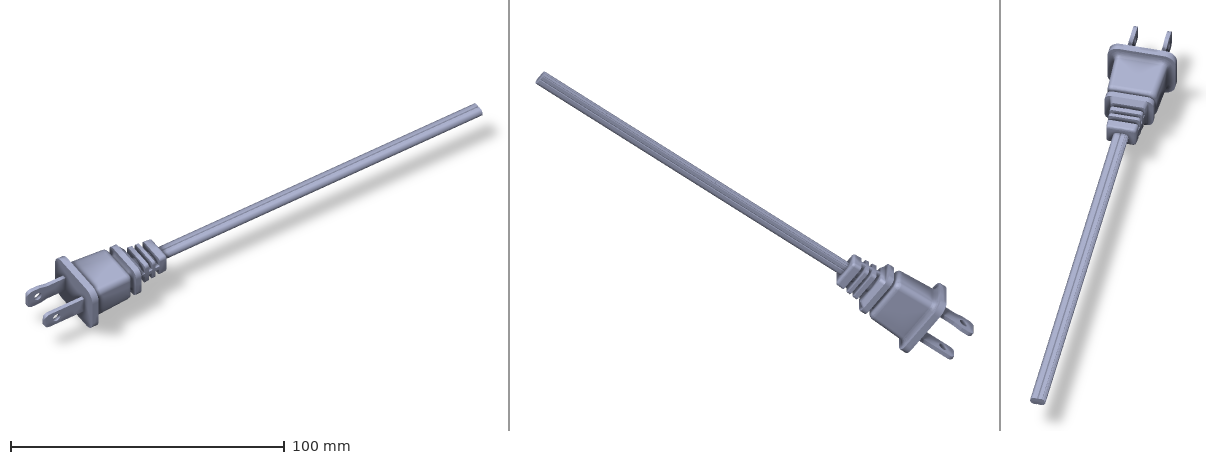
import cadquery as cq
import math

OVERALL_LENGTH = 192.6

BLADE_SPACING = 12.7
BLADE_THICKNESS = 1.5
BLADE_HEIGHT = 6.4
BLADE_LENGTH = 17.3
WIDE_BLADE_HEIGHT = 7.9
WIDE_BLADE_LENGTH = 16.8
WIDENING_START = 7.9
WIDENING_END = 11.4
BLADE_CORNER_RADIUS = 2.5
BLADE_TIP_CHAMFER = 0.48
BLADE_HOLE_DIAMETER = 3.3
BLADE_HOLE_DISTANCE = 12.0

FLANGE_WIDTH = 25.5
FLANGE_HEIGHT = 18.9
FLANGE_THICKNESS = 2.7
FLANGE_CORNER_RADIUS = 4.2

BODY_FRONT_WIDTH = 19.8
BODY_FRONT_HEIGHT = 13.1
BODY_BACK_WIDTH = 18.3
BODY_BACK_HEIGHT = 12.0
BODY_BACK_Y = 19.6
BODY_CORNER_RADIUS = 2.1
BODY_EDGE_RADIUS = 2.0
BODY_ROOT_RADIUS = 1.7

NECK_WIDTH = 12.7
NECK_HEIGHT = 8.0
NECK_CORNER_RADIUS = 1.7
NECK_FILLET_RADIUS = 1.3
COLLAR_WIDTH = 18.3
COLLAR_HEIGHT = 12.3
COLLAR_CORNER_RADIUS = 2.7
COLLAR_FRONT_Y = 21.2
COLLAR_BACK_Y = 23.5
SHOULDER_WIDTH = 14.3
SHOULDER_BACK_Y = 25.2

RELIEF_FRONT_WIDTH = 12.7
RELIEF_FRONT_HEIGHT = 8.9
RELIEF_BACK_WIDTH = 11.2
RELIEF_BACK_HEIGHT = 7.9
RELIEF_BACK_Y = 37.0
RELIEF_CORNER_RADIUS = 1.2
RELIEF_EDGE_RADIUS = 1.0
GROOVES = [(SHOULDER_BACK_Y, 27), (28.7, 30.2), (31.5, 33.5)]
WEB_THICKNESS = 1.5
CORE_RADIUS = 2.9

CORD_WIDTH = 5.8
CORD_HEIGHT = 3.0
CORD_PARTING_CHAMFER = 0.29
RIB_GROOVE_COUNT = 5
RIB_GROOVE_RADIUS = 0.2
CORD_START_Y = GROOVES[0][1]
CORD_END_Y = OVERALL_LENGTH - BLADE_LENGTH


def rounded_section(width, height, radius, y):
    """Closed rounded rectangle in the plane at the given Y."""
    plane = cq.Plane(origin=(0, y, 0), xDir=(1, 0, 0), normal=(0, -1, 0))
    outline = cq.Sketch().rect(width, height).vertices().fillet(radius)
    return cq.Workplane(plane).placeSketch(outline)


def rounded_bar(width, height, radius, front_y, back_y):
    """Straight bar of rounded rectangular section between two Y positions."""
    return rounded_section(width, height, radius, back_y).extrude(back_y - front_y)


def tapered_bar(front, back, radius, front_y, back_y):
    """Bar whose section changes from the front (width, height) to the back one."""
    plane = cq.Plane(origin=(0, front_y, 0), xDir=(-1, 0, 0), normal=(0, 1, 0))
    front_outline = cq.Sketch().rect(*front).vertices().fillet(radius)
    back_outline = cq.Sketch().rect(*back).vertices().fillet(radius)
    back_outline = back_outline.moved(cq.Location(cq.Vector(0, 0, back_y - front_y)))
    return cq.Workplane(plane).placeSketch(front_outline, back_outline).loft()


def joint_edges(width, height, y):
    """Selector for edges at the given Y that lie inside a face of the given size."""
    margin = 0.2
    half_width = width / 2 - margin
    half_height = height / 2 - margin
    return cq.selectors.BoxSelector(
        (-half_width, y - margin, -half_height),
        (half_width, y + margin, half_height),
        boundingbox=True,
    )


def make_flanged_body():
    """Plug body with a rounded back edge, blended into its flange."""
    flange = rounded_bar(FLANGE_WIDTH, FLANGE_HEIGHT, FLANGE_CORNER_RADIUS, 0, FLANGE_THICKNESS)
    body = tapered_bar(
        (BODY_FRONT_WIDTH, BODY_FRONT_HEIGHT),
        (BODY_BACK_WIDTH, BODY_BACK_HEIGHT),
        BODY_CORNER_RADIUS,
        FLANGE_THICKNESS,
        BODY_BACK_Y,
    )
    body = body.faces(">Y").edges().fillet(BODY_EDGE_RADIUS)
    root = joint_edges(FLANGE_WIDTH, FLANGE_HEIGHT, FLANGE_THICKNESS)
    return flange.union(body).edges(root).fillet(BODY_ROOT_RADIUS)


def make_collar():
    """Neck, collar and the shoulder that slopes down to the strain relief."""
    neck = rounded_bar(NECK_WIDTH, NECK_HEIGHT, NECK_CORNER_RADIUS, BODY_BACK_Y, COLLAR_FRONT_Y)
    collar = rounded_bar(
        COLLAR_WIDTH, COLLAR_HEIGHT, COLLAR_CORNER_RADIUS, COLLAR_FRONT_Y, COLLAR_BACK_Y
    )
    shoulder = tapered_bar(
        (SHOULDER_WIDTH, COLLAR_HEIGHT),
        (RELIEF_FRONT_WIDTH, RELIEF_FRONT_HEIGHT),
        RELIEF_CORNER_RADIUS,
        COLLAR_BACK_Y,
        SHOULDER_BACK_Y,
    )
    joint = joint_edges(COLLAR_WIDTH, COLLAR_HEIGHT, COLLAR_FRONT_Y)
    return neck.union(collar).edges(joint).fillet(NECK_FILLET_RADIUS).union(shoulder)


def make_strain_relief():
    """Tapered block notched from above and below down to a thin web."""
    relief = tapered_bar(
        (RELIEF_FRONT_WIDTH, RELIEF_FRONT_HEIGHT),
        (RELIEF_BACK_WIDTH, RELIEF_BACK_HEIGHT),
        RELIEF_CORNER_RADIUS,
        SHOULDER_BACK_Y,
        RELIEF_BACK_Y,
    )
    relief = relief.faces(">Y").edges().fillet(RELIEF_EDGE_RADIUS)
    for front_y, back_y in GROOVES:
        length = back_y - front_y
        groove = cq.Workplane("XY").box(FLANGE_WIDTH, length, FLANGE_HEIGHT)
        groove = groove.cut(cq.Workplane("XY").box(FLANGE_WIDTH, length, WEB_THICKNESS))
        relief = relief.cut(groove.translate((0, (front_y + back_y) / 2, 0)))
    core_front_y, core_back_y = GROOVES[0]
    core = cq.Workplane("XZ", origin=(0, core_back_y, 0)).circle(CORE_RADIUS)
    return relief.union(core.extrude(core_back_y - core_front_y))


def make_strand(side):
    """One cord strand: flat where it meets its neighbour, round outside; side is -1 or 1."""
    radius = CORD_HEIGHT / 2
    half_width = CORD_WIDTH / 2
    parting_height = radius - CORD_PARTING_CHAMFER
    arc_start = half_width - radius
    return (
        cq.Workplane("XZ", origin=(0, CORD_END_Y, 0))
        .moveTo(0, -parting_height)
        .lineTo(side * CORD_PARTING_CHAMFER, -radius)
        .lineTo(side * arc_start, -radius)
        .threePointArc((side * half_width, 0), (side * arc_start, radius))
        .lineTo(side * CORD_PARTING_CHAMFER, radius)
        .lineTo(0, parting_height)
        .close()
        .extrude(CORD_END_Y - CORD_START_Y)
    )


def make_ribbed_strand():
    """Strand on the wide blade's side, with fine grooves along its round outside."""
    strand = make_strand(-1)
    radius = CORD_HEIGHT / 2
    axis_x = radius - CORD_WIDTH / 2
    for index in range(RIB_GROOVE_COUNT):
        angle = math.pi / 2 + math.pi * (index + 0.5) / RIB_GROOVE_COUNT
        groove = (
            cq.Workplane("XZ", origin=(0, CORD_END_Y, 0))
            .center(axis_x + radius * math.cos(angle), radius * math.sin(angle))
            .circle(RIB_GROOVE_RADIUS)
            .extrude(CORD_END_Y - RELIEF_BACK_Y)
        )
        strand = strand.cut(groove)
    return strand


def make_housing(strands):
    """Moulded plug with a passage that the strands fill."""
    housing = make_flanged_body().union(make_collar()).union(make_strain_relief())
    for strand in strands:
        housing = housing.cut(strand)
    return housing


def make_blade(side, length, tip_height):
    """Blade standing on the plug face, widening to tip_height before its rounded, drilled tip."""
    half_shank = BLADE_HEIGHT / 2
    half_tip = tip_height / 2
    outline = [
        (0, -half_shank),
        (-WIDENING_START, -half_shank),
        (-WIDENING_END, -half_tip),
        (-length, -half_tip),
        (-length, half_tip),
        (-WIDENING_END, half_tip),
        (-WIDENING_START, half_shank),
        (0, half_shank),
    ]
    blade = cq.Workplane("YZ").polyline(outline).close().extrude(BLADE_THICKNESS / 2, both=True)
    blade = blade.faces("<Y").edges("|X").fillet(BLADE_CORNER_RADIUS)
    half_thickness = BLADE_THICKNESS / 2
    tip_half_thickness = half_thickness - BLADE_TIP_CHAMFER
    chamfer_start = -length + BLADE_TIP_CHAMFER
    plan = [
        (-half_thickness, 0),
        (-half_thickness, chamfer_start),
        (-tip_half_thickness, -length),
        (tip_half_thickness, -length),
        (half_thickness, chamfer_start),
        (half_thickness, 0),
    ]
    blade = blade.intersect(cq.Workplane("XY").polyline(plan).close().extrude(tip_height, both=True))
    hole = (
        cq.Workplane("YZ")
        .center(-BLADE_HOLE_DISTANCE, 0)
        .circle(BLADE_HOLE_DIAMETER / 2)
        .extrude(BLADE_THICKNESS, both=True)
    )
    return blade.cut(hole).translate((side * BLADE_SPACING / 2, 0, 0))


ribbed_strand = make_ribbed_strand()
plain_strand = make_strand(1)
strands = [ribbed_strand, plain_strand]
housing = make_housing(strands)
wide_blade = make_blade(-1, WIDE_BLADE_LENGTH, WIDE_BLADE_HEIGHT)
narrow_blade = make_blade(1, BLADE_LENGTH, BLADE_HEIGHT)

result = cq.Compound.makeCompound(
    [
        housing.val(),
        wide_blade.val(),
        narrow_blade.val(),
        *[strand.val() for strand in strands],
    ]
)